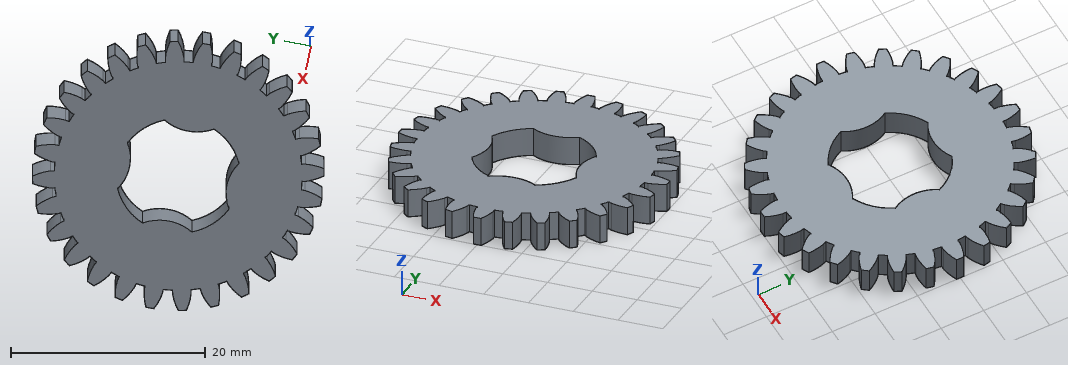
import cadquery as cq
import math

tooth_count = 28
thickness = 3.12
tip_radius = 15.0
pitch_radius = tip_radius * tooth_count / (tooth_count + 2)
root_radius = 12.75
pressure_angle = 20.0
base_radius = pitch_radius * math.cos(math.radians(pressure_angle))

tip_half_width = 0.42
pitch_half_width = 0.795
foot_half_width = 0.95

bore_radius = 6.4
lobe_count = 4
lobe_radius = 4.9
lobe_reach = 5.1


def point_on_circle(radius, half_width):
    """Point of a circle about the axis, offset in X from the +Y direction."""
    return half_width, math.sqrt(radius**2 - half_width**2)


def mirrored(point):
    return -point[0], point[1]


def make_tooth():
    """One tooth along +Y, with flat sides up to the base circle and curved flanks above."""
    tip = point_on_circle(tip_radius, tip_half_width)
    flank = point_on_circle(pitch_radius, pitch_half_width)
    base = point_on_circle(base_radius, foot_half_width)
    foot = (foot_half_width, (bore_radius + root_radius) / 2)
    return (
        cq.Workplane("XY")
        .moveTo(*mirrored(foot))
        .lineTo(*mirrored(base))
        .threePointArc(mirrored(flank), mirrored(tip))
        .threePointArc((0, tip_radius), tip)
        .threePointArc(flank, base)
        .lineTo(*foot)
        .close()
        .extrude(thickness)
    )


def make_bore():
    """Round bore cutter with the lobes left standing."""
    lobes = (
        cq.Workplane("XY")
        .polarArray(lobe_reach + lobe_radius, 0, 360, lobe_count)
        .circle(lobe_radius)
        .extrude(thickness)
    )
    return cq.Workplane("XY").circle(bore_radius).extrude(thickness).cut(lobes)


gear = cq.Workplane("XY").circle(root_radius).extrude(thickness)
tooth = make_tooth()
for index in range(tooth_count):
    angle = index * 360 / tooth_count
    gear = gear.union(tooth.rotate((0, 0, 0), (0, 0, 1), angle))

result = gear.cut(make_bore())